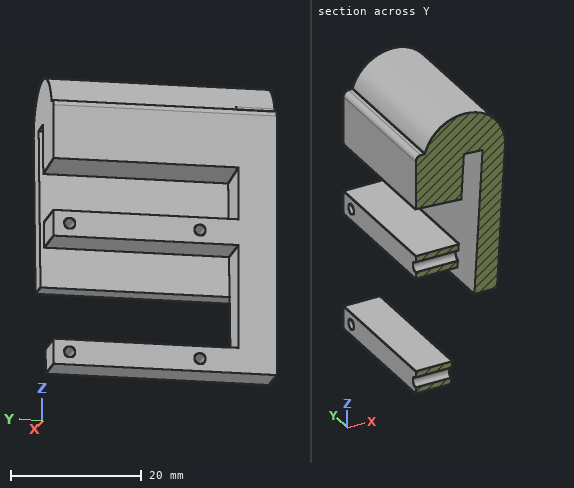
import cadquery as cq
import math

total_width = 15.68
total_height = 47.1

slot_width = 3.18
tongue_thickness = 4.02
tongue_bottom = 14.7
lean = math.radians(3.25)
head_radius = slot_width + tongue_thickness
head_x = total_width - head_radius
head_z = total_height - head_radius

rounding_z = 40.95
ledge_rounding = 0.95
ledge_start_x = ledge_rounding * (1 - math.sin(lean))
ledge_start_z = rounding_z + ledge_rounding * math.cos(lean)

ledge_offset_x = ledge_start_x - head_x
ledge_offset_z = ledge_start_z - head_z
ledge_clearance = ledge_offset_x**2 + ledge_offset_z**2 - head_radius**2

arm_count = 2
holes_per_arm = 2
hole_diameter = 1.7
hole_pitch = 20.32
hole_end_distance = 2.5
hole_to_post = 6.0
lower_arm_height = 4.0
arm_length = hole_end_distance + hole_pitch + hole_to_post
upper_arm_bottom = 20.25
upper_arm_top = lower_arm_height + hole_pitch

post_length = 6.0
total_length = post_length + arm_length

web_depth = 7.85


def slot_point(across, down):
    """XZ point in the leaning slot frame, whose origin is the head centre."""
    x = head_x + across * math.cos(lean) - down * math.sin(lean)
    z = head_z - across * math.sin(lean) - down * math.cos(lean)
    return (x, z)


def slot_line_at(across, z):
    """XZ point at height z on the leaning line a given distance across the slot."""
    down = (head_z - across * math.sin(lean) - z) / math.cos(lean)
    return slot_point(across, down)


def prism(sketch, y_start, y_end):
    """Extrude a closed XZ sketch between two Y positions."""
    return sketch.extrude(-(y_end - y_start)).translate((0, y_start, 0))


def make_body():
    """Full-length hook profile with a sharp inner corner where ledge meets head."""
    along = ledge_offset_x * math.cos(lean) + ledge_offset_z * math.sin(lean)
    ledge_length = -along - math.sqrt(along**2 - ledge_clearance)
    ledge_end = (
        ledge_start_x + ledge_length * math.cos(lean),
        ledge_start_z + ledge_length * math.sin(lean),
    )
    rounding_mid_angle = (math.pi + math.pi / 2 + lean) / 2
    rounding_mid = (
        ledge_rounding * (1 + math.cos(rounding_mid_angle)),
        rounding_z + ledge_rounding * math.sin(rounding_mid_angle),
    )
    profile = (
        cq.Workplane("XZ")
        .moveTo(0, 0)
        .lineTo(0, rounding_z)
        .threePointArc(rounding_mid, (ledge_start_x, ledge_start_z))
        .lineTo(*ledge_end)
        .threePointArc((head_x, total_height), slot_point(head_radius, 0))
        .lineTo(*slot_line_at(head_radius, tongue_bottom))
        .lineTo(*slot_line_at(slot_width, tongue_bottom))
        .lineTo(*slot_point(slot_width, 0))
        .lineTo(*slot_point(0, 0))
        .lineTo(*slot_line_at(0, 0))
        .close()
    )
    return prism(profile, 0, total_length)


def make_corner_fillet():
    """Concave fillet between ledge and head, along the post only.

    It starts where the ledge rounding ends and is tangent to the ledge and the head.
    """
    across = ledge_offset_z * math.cos(lean) - ledge_offset_x * math.sin(lean)
    radius = ledge_clearance / (2 * (head_radius - across))
    centre_x = ledge_start_x - radius * math.sin(lean)
    centre_z = ledge_start_z + radius * math.cos(lean)
    head_angle = math.atan2(head_z - centre_z, head_x - centre_x)
    ledge_angle = lean - math.pi / 2
    mid_angle = (head_angle + ledge_angle) / 2

    def fillet_point(angle):
        return (centre_x + radius * math.cos(angle), centre_z + radius * math.sin(angle))

    profile = (
        cq.Workplane("XZ")
        .moveTo(ledge_start_x, ledge_start_z)
        .threePointArc(fillet_point(mid_angle), fillet_point(head_angle))
        .lineTo(head_x, head_z)
        .lineTo(ledge_start_x, head_z)
        .close()
    )
    return prism(profile, 0, post_length)


def make_window(bottom_z, top_left, top_right):
    """Opening beside the post, ending inside the slot so that the tongue stays whole."""
    profile = cq.Workplane("XZ").polyline(
        [(0, bottom_z), slot_line_at(slot_width / 2, bottom_z), top_right, top_left]
    ).close()
    return prism(profile, post_length, total_length)


def make_lower_window():
    """Level opening between the two arms."""
    top_right = slot_line_at(slot_width / 2, upper_arm_bottom)
    return make_window(lower_arm_height, (0, upper_arm_bottom), top_right)


def make_upper_window():
    """Opening above the upper arm, with its top square to the leaning slot."""
    top_right = slot_point(slot_width / 2, web_depth)
    top_left = (0, top_right[1] + top_right[0] * math.tan(lean))
    return make_window(upper_arm_top, top_left, top_right)


def make_arm_holes():
    """Two screw holes through each arm along X, stopping in the slot."""
    far_y = total_length - hole_end_distance
    positions = [
        (far_y - column * hole_pitch, lower_arm_height / 2 + row * hole_pitch)
        for column in range(holes_per_arm)
        for row in range(arm_count)
    ]
    hole_depth = head_x
    return cq.Workplane("YZ").pushPoints(positions).circle(hole_diameter / 2).extrude(hole_depth)


result = (
    make_body()
    .union(make_corner_fillet())
    .cut(make_lower_window())
    .cut(make_upper_window())
    .cut(make_arm_holes())
)